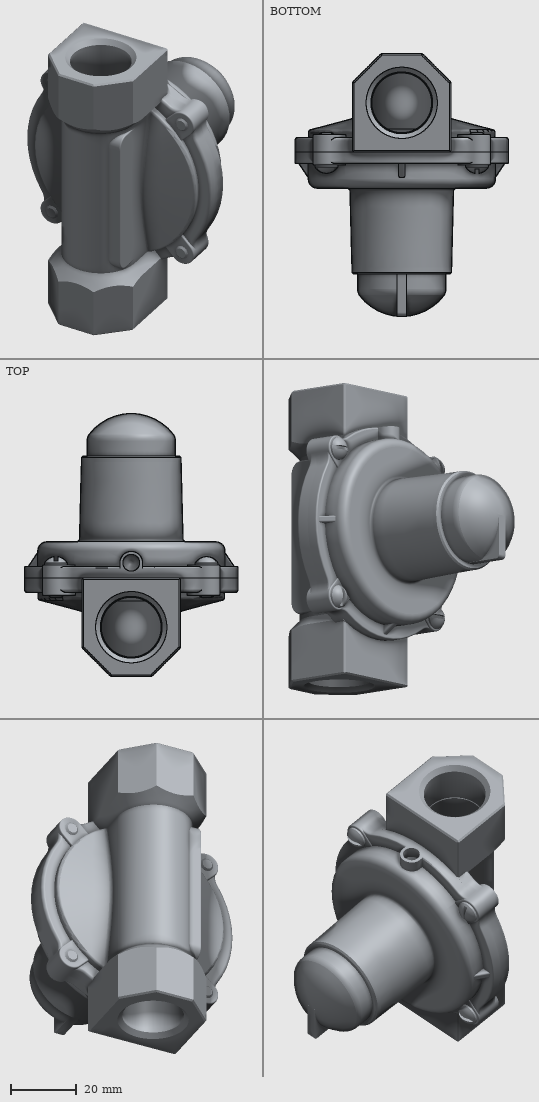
import cadquery as cq
import math


total_length = 90.0
half_length = total_length / 2
pipe_radius = 12.0
block_half_width = 15.0
pipe_y = -block_half_width
octagon_half_side = block_half_width * math.tan(math.pi / 8)
flare_start = 25.0
flare_end = flare_start + block_half_width - pipe_radius
block_edge = 0.5
bore_radius = 9.4
bore_mouth_radius = 10.85
bore_depth = 13.0
passage_radius = 9.1
seat_post_radius = 11.0
seat_post_top = -7.0
seat_web = 3.0

rib_left = 7.8
rib_front = -24.0
rib_half_length = 23.7
rib_end_radius = 3.7
rib_corner_radius = 0.4

flange_radius = 32.5
lug_radius = 4.1
lug_blend_radius = 5.0
bolt_circle_radius = 32.4
lug_angles = [45, 135, 225, 315]
lug_edge = 0.4

housing_flange_face = -4.5
housing_flange_edge = 1.0
housing_lug_face = -5.4
drum_radius = 28.4
drum_corner_y = -6.65
drum_edge = 1.0
dish_slope = math.radians(15)
dish_tip_y = drum_corner_y - drum_radius * math.tan(dish_slope)
dish_blend_radius = 1.0

bonnet_flange_face = 3.5
bonnet_flange_edge = 0.5
bonnet_lug_face = 3.95
cup_radius = 28.5
cup_top = 11.0
cup_edge = 2.8
tower_base_radius = 15.8
tower_top_radius = 15.2
tower_taper_end = 35.1
tower_top = 37.05
tower_edge = 0.5
tower_root_fillet = 0.9
gusset_thickness = 2.0
gusset_outer_radius = 31.3
gusset_top = 7.7
gusset_edge = 0.5
gusset_angles = [0, 180, 270]
vent_y = 4.6
vent_boss_radius = 3.45
vent_hole_radius = 2.55
vent_hole_depth = 4.0
vent_tip_depth = vent_hole_radius / math.tan(math.radians(59))

cap_top = 50.0
cap_radius = 13.45
dome_rim_radius = 12.9
dome_rim_y = 43.55
cap_rounding = 3.0
fin_thickness = 3.0
fin_corner_radius = 1.2

shank_radius = 2.15
tip_radius = 1.6
tip_y = -6.0
head_radius = 3.45
head_rim = 0.6
head_top = 6.5
slot_width = 1.2
slot_floor = 5.15


def facing_front(y):
    """Sketch plane across the main axis; a positive extrusion runs toward -Y."""
    return cq.Workplane("XZ", origin=(0, y, 0))


def turned(shape, angle):
    """Turns a shape about the main axis, from +X toward +Z."""
    return shape.rotate((0, 0, 0), (0, -1, 0), angle)


def cylinder(radius, y_high, y_low):
    return facing_front(y_high).circle(radius).extrude(y_high - y_low)


def polar(radius, angle):
    return (radius * math.cos(angle), radius * math.sin(angle))


def flange_plate(y_high, y_low):
    """Round plate with four lug lobes, each blended into the rim by tangent arcs."""
    blend_center_radius = flange_radius + lug_blend_radius
    lug_to_blend = lug_radius + lug_blend_radius
    blend_offset = math.acos(
        (blend_center_radius**2 + bolt_circle_radius**2 - lug_to_blend**2)
        / (2 * blend_center_radius * bolt_circle_radius)
    )

    def blend_arc(lug_angle, side):
        """Points of one blend arc, from the rim to the lug."""
        rim_angle = lug_angle + side * blend_offset
        center = cq.Vector(*polar(blend_center_radius, rim_angle))
        to_lug = (cq.Vector(*polar(bolt_circle_radius, lug_angle)) - center).normalized()
        to_rim = center.normalized() * -1
        halfway = (to_lug + to_rim).normalized()
        return [(center + way * lug_blend_radius).toTuple()[:2] for way in (to_rim, halfway, to_lug)]

    angles = [math.radians(angle) for angle in lug_angles]
    plate = facing_front(y_high).moveTo(*blend_arc(angles[0], -1)[0])
    for lug_angle in angles:
        _, entry_middle, entry_end = blend_arc(lug_angle, -1)
        exit_end, exit_middle, exit_start = blend_arc(lug_angle, 1)
        next_angle = lug_angle + math.pi / 2
        plate = (
            plate.threePointArc(entry_middle, entry_end)
            .threePointArc(polar(bolt_circle_radius + lug_radius, lug_angle), exit_start)
            .threePointArc(exit_middle, exit_end)
            .threePointArc(polar(flange_radius, lug_angle + math.pi / 4), blend_arc(next_angle, -1)[0])
        )
    return plate.close().extrude(y_high - y_low)


def lug(y_high, y_low, angle, outer_face):
    """Raised lug with a round outer end, running inward under the drum or cup."""
    inner_radius = drum_radius - 2 * lug_radius
    block = (
        facing_front(y_high)
        .center((bolt_circle_radius + inner_radius) / 2, 0)
        .slot2D(bolt_circle_radius - inner_radius + 2 * lug_radius, 2 * lug_radius)
        .extrude(y_high - y_low)
        .faces(outer_face)
        .edges()
        .fillet(lug_edge)
    )
    return turned(block, angle)


def screw_hole(angle):
    hole = cylinder(shank_radius, bonnet_lug_face + 1, tip_y).translate((bolt_circle_radius, 0, 0))
    return turned(hole, angle)


def end_block():
    """Half-octagon block at the +Z end, with a conical flare toward the pipe."""
    front = pipe_y - block_half_width
    shoulder = pipe_y - octagon_half_side
    prism = (
        cq.Workplane("XY", origin=(0, 0, flare_start))
        .polyline([
            (-block_half_width, 0),
            (-block_half_width, shoulder),
            (-octagon_half_side, front),
            (octagon_half_side, front),
            (block_half_width, shoulder),
            (block_half_width, 0),
        ])
        .close()
        .extrude(half_length - flare_start)
        .faces(">Z")
        .edges()
        .chamfer(block_edge)
        .edges("|Z and >Y")
        .chamfer(block_edge)
    )
    flare_height = half_length - flare_start
    flare_profile = [
        (0, flare_start),
        (pipe_radius, flare_start),
        (pipe_radius + flare_height, half_length),
        (0, half_length),
    ]
    cone = (
        cq.Workplane("XZ")
        .polyline(flare_profile)
        .close()
        .revolve(360, (0, 0, 0), (0, 1, 0))
        .translate((0, pipe_y, 0))
    )
    straight_flare = (
        cq.Workplane("XZ")
        .polyline(flare_profile)
        .close()
        .extrude(-pipe_y)
    )
    straight_flare = straight_flare.union(straight_flare.mirror("YZ"))
    return prism.intersect(cone.union(straight_flare))


def flow_passage():
    """Bores from both ends, separated in the middle by a round seat post and a thin web."""
    mouth_depth = bore_mouth_radius - bore_radius
    bore_floor = half_length - bore_depth
    half = (
        cq.Workplane("XZ")
        .polyline([
            (0, seat_web / 2),
            (passage_radius, seat_web / 2),
            (passage_radius, bore_floor),
            (bore_radius, bore_floor),
            (bore_radius, half_length - mouth_depth),
            (bore_mouth_radius, half_length),
            (0, half_length),
        ])
        .close()
        .revolve(360, (0, 0, 0), (0, 1, 0))
        .translate((0, pipe_y, 0))
    )
    seat_post = cylinder(seat_post_radius, seat_post_top, pipe_y - pipe_radius)
    return half.union(half.mirror("XY")).cut(seat_post)


def pipe_with_dish():
    """Drum with a shallow conical dish, and the pipe with straight walls back to the drum."""
    edge_turn = math.pi / 2 - dish_slope
    edge_start_y = drum_corner_y + drum_edge * math.tan(edge_turn / 2)
    edge_center_radius = drum_radius - drum_edge

    def edge_point(turn):
        """Point of the rounded drum edge, after turning from the wall toward the dish."""
        across, down = polar(drum_edge, turn)
        return (edge_center_radius + across, edge_start_y - down)

    dish = (
        cq.Workplane("XY")
        .lineTo(drum_radius, 0)
        .lineTo(*edge_point(0))
        .threePointArc(edge_point(edge_turn / 2), edge_point(edge_turn))
        .lineTo(0, dish_tip_y)
        .close()
        .revolve(360, (0, 0, 0), (0, 1, 0))
    )
    pipe = (
        cq.Workplane("XY", origin=(0, 0, -flare_end))
        .moveTo(-pipe_radius, 0)
        .lineTo(-pipe_radius, pipe_y)
        .threePointArc((0, pipe_y - pipe_radius), (pipe_radius, pipe_y))
        .lineTo(pipe_radius, 0)
        .close()
        .extrude(2 * flare_end)
    )
    joined = dish.union(pipe)
    for side in (-1, 1):
        wall = side * pipe_radius
        wall_joint = cq.selectors.BoxSelector(
            (wall - 0.1, dish_tip_y, -flare_start),
            (wall + 0.1, drum_corner_y, flare_start),
        )
        joined = joined.edges(wall_joint).fillet(dish_blend_radius)
    return joined


def side_rib():
    rib = (
        cq.Workplane("XY", origin=(0, 0, -rib_half_length))
        .moveTo(rib_left, rib_front)
        .lineTo(pipe_radius, rib_front)
        .lineTo(pipe_radius, pipe_y)
        .lineTo(rib_left, pipe_y)
        .close()
        .extrude(2 * rib_half_length)
    )
    rib = rib.edges("<Y and |X").fillet(rib_end_radius)
    return rib.edges("|Z and <Y and >X").fillet(rib_corner_radius)


def make_housing():
    block = end_block()
    body = flange_plate(0, housing_flange_face).faces("<Y").edges().fillet(housing_flange_edge)
    for angle in lug_angles:
        body = body.union(lug(0, housing_lug_face, angle, "<Y"))
    body = body.union(pipe_with_dish())
    body = body.union(block).union(block.mirror("XY")).union(side_rib())
    for angle in lug_angles:
        body = body.cut(screw_hole(angle))
    return body.cut(flow_passage())


def gusset(angle):
    """Triangular web between the flange rim and the cup wall."""
    inner_radius = cup_radius - 1
    web_slope = (gusset_top - bonnet_flange_face) / (gusset_outer_radius - cup_radius)
    web = (
        cq.Workplane("XY", origin=(0, 0, -gusset_thickness / 2))
        .polyline([
            (inner_radius, 0),
            (gusset_outer_radius + bonnet_flange_face / web_slope, 0),
            (inner_radius, gusset_top + web_slope),
        ])
        .close()
        .extrude(gusset_thickness)
        .faces(">X")
        .edges("not |Z")
        .fillet(gusset_edge)
        .intersect(cylinder(flange_radius - bonnet_flange_edge, gusset_top, 0))
    )
    return turned(web, angle)


def vent_boss():
    length = flange_radius
    round_top = cq.Workplane("XY").center(0, vent_y).circle(vent_boss_radius).extrude(length)
    foot = (
        cq.Workplane("XY")
        .center(0, vent_y / 2)
        .rect(2 * vent_boss_radius, vent_y)
        .extrude(length)
    )
    above_split = cylinder(flange_radius, cup_top, 0)
    return round_top.union(foot).intersect(above_split)


def vent_hole():
    """Drilled hole with a conical bottom, entering from the +Z rim."""
    floor = flange_radius - vent_hole_depth
    return (
        cq.Workplane("XZ")
        .polyline([
            (0, floor - vent_tip_depth),
            (vent_hole_radius, floor),
            (vent_hole_radius, flange_radius),
            (0, flange_radius),
        ])
        .close()
        .revolve(360, (0, 0, 0), (0, 1, 0))
        .translate((0, vent_y, 0))
    )


def make_bonnet():
    body = flange_plate(bonnet_flange_face, 0).faces(">Y").edges().fillet(bonnet_flange_edge)
    for angle in lug_angles:
        body = body.union(lug(bonnet_lug_face, 0, angle, ">Y"))
    cup = cylinder(cup_radius, cup_top, 0).faces(">Y").edges().fillet(cup_edge)
    tower = (
        cq.Workplane("XY")
        .polyline([
            (0, cup_top),
            (tower_base_radius, cup_top),
            (tower_top_radius, tower_taper_end),
            (tower_top_radius, tower_top - tower_edge),
            (tower_top_radius - tower_edge, tower_top),
            (0, tower_top),
        ])
        .close()
        .revolve(360, (0, 0, 0), (0, 1, 0))
    )
    root_reach = tower_base_radius + tower_root_fillet
    tower_root = cq.selectors.BoxSelector(
        (-root_reach, cup_top - tower_root_fillet, -root_reach),
        (root_reach, cup_top + tower_root_fillet, root_reach),
        boundingbox=True,
    )
    shell = cup.union(tower).edges(tower_root).fillet(tower_root_fillet)
    body = body.union(shell).union(vent_boss()).cut(vent_hole())
    for angle in gusset_angles:
        body = body.union(gusset(angle))
    for angle in lug_angles:
        body = body.cut(screw_hole(angle))
    return body


def make_cap():
    """Domed cap with a square-cornered fin on its -Z half."""
    dome_height = cap_top - dome_rim_y
    dome_radius = (dome_rim_radius**2 + dome_height**2) / (2 * dome_height)
    dome_half_angle = math.asin(dome_rim_radius / dome_radius) / 2
    dome_middle = (
        dome_radius * math.sin(dome_half_angle),
        cap_top - dome_radius * (1 - math.cos(dome_half_angle)),
    )
    wall_top = dome_rim_y - cap_rounding * math.cos(2 * dome_half_angle)
    rounding_turn = math.pi / 4 - dome_half_angle
    rounding_middle = (
        cap_radius - cap_rounding * (1 - math.cos(rounding_turn)),
        wall_top + cap_rounding * math.sin(rounding_turn),
    )
    dome = (
        cq.Workplane("XY")
        .moveTo(0, tower_top)
        .lineTo(cap_radius, tower_top)
        .lineTo(cap_radius, wall_top)
        .threePointArc(rounding_middle, (dome_rim_radius, dome_rim_y))
        .threePointArc(dome_middle, (0, cap_top))
        .close()
        .revolve(360, (0, 0, 0), (0, 1, 0))
    )
    fin = (
        facing_front(cap_top)
        .center(0, -cap_radius / 2)
        .rect(fin_thickness, cap_radius)
        .extrude(cap_top - tower_top)
        .edges("<Z and >Y")
        .fillet(fin_corner_radius)
    )
    fin_bounds = cq.Workplane("XY").box(fin_thickness, 2 * cap_top, 2 * cap_radius)
    return dome.union(fin.intersect(fin_bounds))


def screw(angle):
    """Round-head slotted screw with a chamfered tip; its slot turns with its place."""
    rim_y = bonnet_lug_face + head_rim
    head_rise = head_top - rim_y
    head_sphere = (head_radius**2 + head_rise**2) / (2 * head_rise)
    half_angle = math.asin(head_radius / head_sphere) / 2
    head_middle = (
        head_sphere * math.sin(half_angle),
        head_top - head_sphere * (1 - math.cos(half_angle)),
    )
    turned_part = (
        cq.Workplane("XY")
        .moveTo(0, tip_y)
        .lineTo(tip_radius, tip_y)
        .lineTo(shank_radius, tip_y + shank_radius - tip_radius)
        .lineTo(shank_radius, bonnet_lug_face)
        .lineTo(head_radius, bonnet_lug_face)
        .lineTo(head_radius, rim_y)
        .threePointArc(head_middle, (0, head_top))
        .close()
        .revolve(360, (0, 0, 0), (0, 1, 0))
    )
    slot = (
        facing_front(head_top)
        .rect(2 * head_radius, slot_width)
        .extrude(head_top - slot_floor)
        .rotate((0, 0, 0), (0, 1, 0), 45)
    )
    return turned(turned_part.cut(slot).translate((bolt_circle_radius, 0, 0)), angle)


housing = make_housing()
bonnet = make_bonnet()
cap = make_cap()
screws = [screw(angle) for angle in lug_angles]

result = cq.Compound.makeCompound(
    [housing.val(), bonnet.val(), cap.val(), *[one.val() for one in screws]]
)